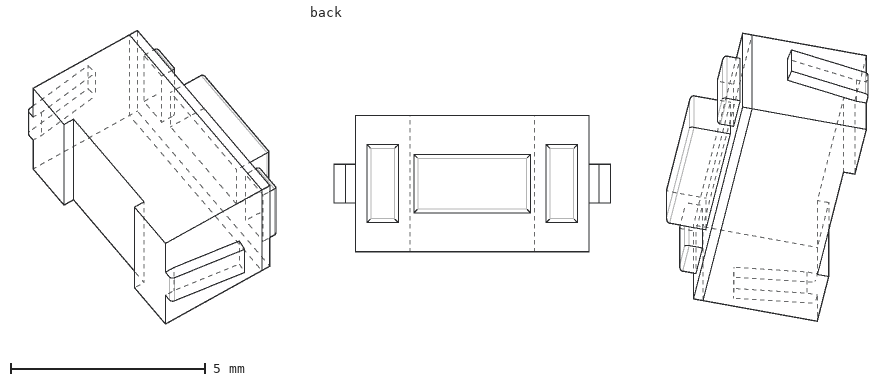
import cadquery as cq
import math

overall_width = 7.1
height = 3.5
overlap = 0.07

housing_width = 6.0
housing_depth = 3.0
channel_width = 3.195
channel_depth = 0.3

terminal_height = 1.0
terminal_thickness = 0.3
terminal_lean = math.radians(7.8)
terminal_tip_y = 2.09
terminal_bend_radius = 0.1

cover_thickness = 0.25
button_width = 2.995
button_height = 1.5
button_length = 1.05
post_width = 0.8
post_height = 2.0
post_length = 0.45
post_offset = 2.3
top_rounding = 0.1

cover_back_y = housing_depth + cover_thickness


def block(width, y_start, y_end, block_height, center_x=0):
    """Box centred on Z = 0 that runs from y_start to y_end."""
    depth = y_end - y_start
    return cq.Workplane("XY").box(width, depth, block_height).translate((center_x, y_start + depth / 2, 0))


def make_terminal(side):
    """Leaning terminal strip; side is -1 for left and +1 for right."""
    wall_x = housing_width / 2
    outer_tip_x = overall_width / 2
    outer_foot_x = outer_tip_x - terminal_tip_y * math.tan(terminal_lean)
    inner_tip_x = outer_tip_x - terminal_thickness * math.cos(terminal_lean)
    inner_tip_y = terminal_tip_y + terminal_thickness * math.sin(terminal_lean)
    wall_meet_y = inner_tip_y - (inner_tip_x - wall_x) / math.tan(terminal_lean)
    outline = [
        (wall_x - overlap, 0),
        (outer_foot_x, 0),
        (outer_tip_x, terminal_tip_y),
        (inner_tip_x, inner_tip_y),
        (wall_x, wall_meet_y),
        (wall_x - overlap, wall_meet_y),
    ]
    strip = (
        cq.Workplane("XY")
        .polyline([(side * x, y) for x, y in outline])
        .close()
        .extrude(terminal_height / 2, both=True)
    )
    bend_edge = cq.selectors.NearestToPointSelector((side * outer_foot_x, 0, 0))
    return strip.edges("|Z").edges(bend_edge).fillet(terminal_bend_radius)


def make_housing():
    """Channelled block with both terminals."""
    body = block(housing_width, 0, housing_depth, height)
    body = body.cut(block(channel_width, 0, channel_depth, height))
    for side in (-1, 1):
        body = body.union(make_terminal(side))
    return body


def make_boss(width, boss_height, length, center_x=0):
    """Rectangular boss on the back of the cover, rounded around its end face."""
    boss = block(width, cover_back_y - overlap, cover_back_y + length, boss_height, center_x)
    return boss.faces(">Y").edges().fillet(top_rounding)


def make_cover():
    """Cover plate with the button and its side posts."""
    plate = block(housing_width, housing_depth, cover_back_y, height)
    plate = plate.union(make_boss(button_width, button_height, button_length))
    for side in (-1, 1):
        plate = plate.union(make_boss(post_width, post_height, post_length, side * post_offset))
    return plate


housing = make_housing()
cover = make_cover()
result = cq.Compound.makeCompound([housing.solids().val(), cover.solids().val()])